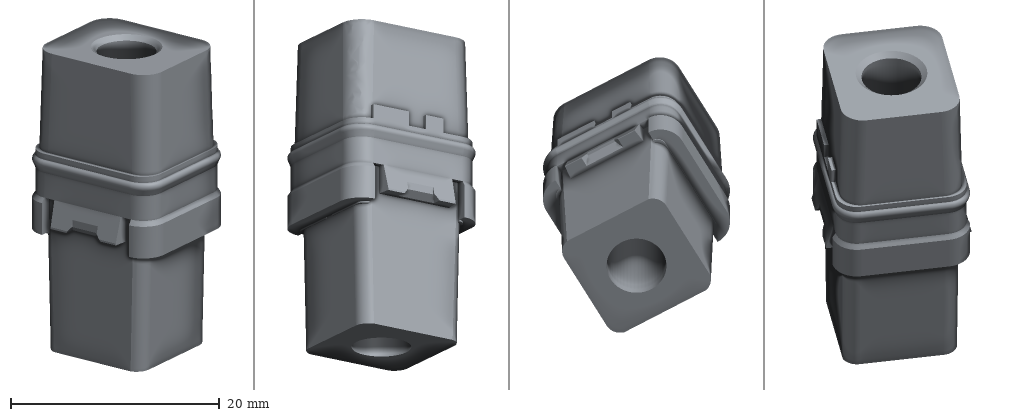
import cadquery as cq

LIP_BOTTOM = 12.05
FLANGE_BOTTOM = 12.2
LATCH_BOTTOM = 13.2
FLANGE_SHOULDER = 15.45
COLLAR_BOTTOM = 15.93
RING_BOTTOM = 18.45
COLLAR_TOP = 20.42
TOTAL_HEIGHT = 30.57


PLUG_BOTTOM_SIZE = (11.28, 11.22, 1.5)
PLUG_TOP_SIZE = (12.0, 11.62, 1.7)

LIP_SIZE = (11.98, 11.55, 0.92)
LIP_GAP = 1.05

COLLAR_X = 14.37
COLLAR_Y = 12.75
COLLAR_RADIUS = 2.08
COLLAR_SIZE = (COLLAR_X, COLLAR_Y, COLLAR_RADIUS)
FLANGE_X = 15.0
RIM = (FLANGE_X - COLLAR_X) / 2
FLANGE_SIZE = (FLANGE_X, COLLAR_Y + 2 * RIM, COLLAR_RADIUS + RIM)

RING_LOWER_EDGE = 19.1
RING_CREST = 19.35
RING_TOP = 19.8
RING_LOWER_REACH = 0.28
RING_ROOT = 0.45

BLOCK_BOTTOM_SIZE = (13.97, 11.92, 2.02)
BLOCK_TOP_SIZE = (13.57, 11.55, 2.15)

WINDOW_WIDTH = 10.27
WINDOW_FLOOR_Y = 5.35
PANEL_Y_BOTTOM = 5.55
PANEL_Y_TOP = 5.7

LATCH_ROOT_WIDTH = 8.0
LATCH_TIP_WIDTH = 7.7
LATCH_SPAN = 14.15
LATCH_TIP_Y = LATCH_SPAN / 2
LATCH_TIP_HEIGHT = 0.18
LATCH_ROOT_Y = WINDOW_FLOOR_Y
LATCH_RECESS_WIDTH = 3.0
LATCH_RECESS_MOUTH = 4.05
LATCH_RECESS_TOP = 14.67
LATCH_RECESS_SHOULDER = 13.82
LATCH_RECESS_Y = 6.75
LATCH_RECESS_BOTTOM_Y = 6.1

RIB_HEIGHT = 1.45
RIB_DEPTH = 0.75
RIB_SPANS = ((-2.95, -0.92), (1.05, COLLAR_X / 2 - COLLAR_RADIUS))

HOLE_DIAMETER = 5.75
COUNTERSINK_DIAMETER = 6.88
COUNTERSINK_DEPTH = 0.45


def rounded_rectangle(size):
    x_width, y_width, radius = size
    return cq.Sketch().rect(x_width, y_width).vertices().fillet(radius)


def straight_block(size, z_low, z_high):
    """Upright block with rounded corners."""
    plane = cq.Workplane("XY", origin=(0, 0, z_low))
    return plane.placeSketch(rounded_rectangle(size)).extrude(z_high - z_low)


def tapered_block(low_size, z_low, high_size, z_high):
    """Block with rounded corners whose section changes evenly with height."""
    low = rounded_rectangle(low_size)
    high = rounded_rectangle(high_size).moved(cq.Location(cq.Vector(0, 0, z_high - z_low)))
    return cq.Workplane("XY", origin=(0, 0, z_low)).placeSketch(low, high).loft()


def on_both_sides(shape):
    """The -Y shape together with its copy on the +Y side."""
    return shape.union(shape.mirror("XZ"))


def make_lip():
    lip = straight_block(LIP_SIZE, LIP_BOTTOM, FLANGE_BOTTOM)
    gap = cq.Workplane("XY").box(2 * LIP_SIZE[0], LIP_GAP, 2 * FLANGE_BOTTOM)
    return lip.cut(gap)


def make_flange():
    body = straight_block(FLANGE_SIZE, FLANGE_BOTTOM, FLANGE_SHOULDER)
    bevel = tapered_block(FLANGE_SIZE, FLANGE_SHOULDER, COLLAR_SIZE, COLLAR_BOTTOM)
    return body.union(bevel)


def make_panel_cut():
    """Everything outside the -Y panel, up to the underside of the collar."""
    outside = FLANGE_SIZE[1]
    return (
        cq.Workplane("YZ")
        .polyline([
            (-outside, 0),
            (-PANEL_Y_BOTTOM, 0),
            (-PANEL_Y_TOP, COLLAR_BOTTOM),
            (-outside, COLLAR_BOTTOM),
        ])
        .close()
        .extrude(WINDOW_WIDTH / 2, both=True)
    )


def make_window():
    """Opening through the lip and the flange on the -Y side."""
    corner = (-WINDOW_WIDTH / 2, -FLANGE_SIZE[1], LIP_BOTTOM)
    depth = FLANGE_SIZE[1] - WINDOW_FLOOR_Y
    return cq.Workplane("XY", origin=corner).box(
        WINDOW_WIDTH, depth, COLLAR_BOTTOM - LIP_BOTTOM, centered=False
    )


def make_ring():
    """Sealing ring around the collar: round above, tapering back below."""
    x_face = COLLAR_X / 2
    path = straight_block(COLLAR_SIZE, RING_BOTTOM, RING_TOP).faces("<Z").wires()
    profile = (
        cq.Workplane("XZ")
        .moveTo(x_face - RING_ROOT, RING_BOTTOM)
        .lineTo(x_face, RING_BOTTOM)
        .lineTo(x_face + RING_LOWER_REACH, RING_LOWER_EDGE)
        .threePointArc((x_face + RIM, RING_CREST), (x_face, RING_TOP))
        .lineTo(x_face - RING_ROOT, RING_TOP)
        .close()
    )
    return profile.sweep(path)


def make_latch():
    """Wedge on the -Y panel, with a recess in the middle of its lower edge."""
    collar_face = COLLAR_Y / 2
    tip_top = LATCH_BOTTOM + LATCH_TIP_HEIGHT
    wedge = (
        cq.Workplane("YZ")
        .polyline([
            (-LATCH_ROOT_Y, LATCH_BOTTOM),
            (-LATCH_TIP_Y, LATCH_BOTTOM),
            (-LATCH_TIP_Y, tip_top),
            (-collar_face, COLLAR_BOTTOM),
            (-LATCH_ROOT_Y, COLLAR_BOTTOM),
        ])
        .close()
        .extrude(LATCH_ROOT_WIDTH / 2, both=True)
    )
    root, tip = LATCH_ROOT_WIDTH / 2, LATCH_TIP_WIDTH / 2
    drafted_sides = (
        cq.Workplane("XY", origin=(0, 0, LATCH_BOTTOM))
        .polyline([
            (-root, -LATCH_ROOT_Y),
            (-root, -PANEL_Y_TOP),
            (-tip, -LATCH_TIP_Y),
            (tip, -LATCH_TIP_Y),
            (root, -PANEL_Y_TOP),
            (root, -LATCH_ROOT_Y),
        ])
        .close()
        .extrude(COLLAR_BOTTOM - LATCH_BOTTOM)
    )
    return wedge.intersect(drafted_sides).cut(make_latch_recess())


def make_latch_recess():
    half, mouth = LATCH_RECESS_WIDTH / 2, LATCH_RECESS_MOUTH / 2
    outline = (
        cq.Workplane("XZ")
        .polyline([
            (-mouth, LATCH_BOTTOM),
            (-half, LATCH_RECESS_SHOULDER),
            (-half, LATCH_RECESS_TOP),
            (half, LATCH_RECESS_TOP),
            (half, LATCH_RECESS_SHOULDER),
            (mouth, LATCH_BOTTOM),
        ])
        .close()
        .extrude(LATCH_TIP_Y)
    )
    depth = (
        cq.Workplane("YZ")
        .polyline([
            (-LATCH_TIP_Y, LATCH_BOTTOM),
            (-LATCH_RECESS_BOTTOM_Y, LATCH_BOTTOM),
            (-LATCH_RECESS_Y, LATCH_RECESS_SHOULDER),
            (-LATCH_RECESS_Y, LATCH_RECESS_TOP),
            (-LATCH_TIP_Y, LATCH_RECESS_TOP),
        ])
        .close()
        .extrude(mouth, both=True)
    )
    return outline.intersect(depth)


def make_rib(x_low, x_high):
    corner = (x_low, COLLAR_Y / 2 - RIB_DEPTH, COLLAR_TOP)
    return cq.Workplane("XY", origin=corner).box(x_high - x_low, RIB_DEPTH, RIB_HEIGHT, centered=False)


def make_hole():
    """Straight bore with a conical mouth at the top, turned about the Z axis."""
    bore, mouth = HOLE_DIAMETER / 2, COUNTERSINK_DIAMETER / 2
    return (
        cq.Workplane("XZ")
        .polyline([
            (0, 0),
            (bore, 0),
            (bore, TOTAL_HEIGHT - COUNTERSINK_DEPTH),
            (mouth, TOTAL_HEIGHT),
            (0, TOTAL_HEIGHT),
        ])
        .close()
        .revolve(360, (0, 0, 0), (0, 1, 0))
    )


plug = tapered_block(PLUG_BOTTOM_SIZE, 0, PLUG_TOP_SIZE, COLLAR_BOTTOM)
plug = plug.cut(on_both_sides(make_panel_cut()))
result = make_lip().union(make_flange())
result = result.cut(on_both_sides(make_window())).union(plug)

result = result.union(straight_block(COLLAR_SIZE, COLLAR_BOTTOM, COLLAR_TOP))
result = result.union(make_ring())
result = result.union(tapered_block(BLOCK_BOTTOM_SIZE, COLLAR_TOP, BLOCK_TOP_SIZE, TOTAL_HEIGHT))

result = result.union(on_both_sides(make_latch()))
for span in RIB_SPANS:
    result = result.union(make_rib(*span))
result = result.cut(make_hole())